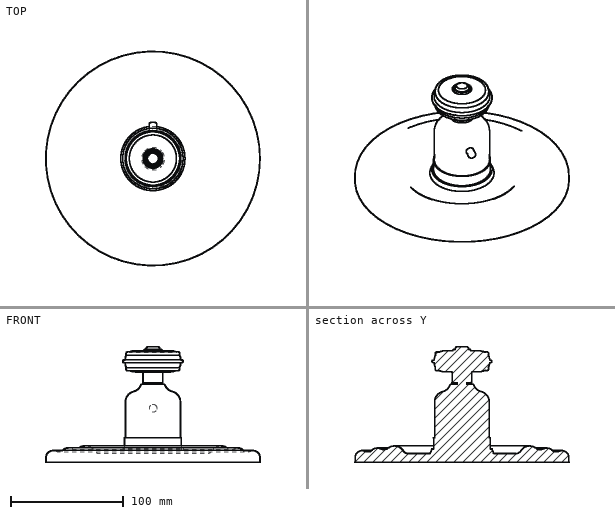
import cadquery as cq


plate_radius = 95.2
plate_edge_height = 4.2
floor_radius = 47.5
floor_height = 7.8
ripple_joints = [(86.3, 10.0), (80.0, 11.0), (72.5, 12.2), (66.0, 12.8), (52.4, 10.5)]

collar_radius = 28.5
collar_top_radius = 26.9
collar_height = 4.0

ring_radius = 25.3
ring_top = 22.0
body_radius = 24.5
shoulder_start = 53.3
shoulder_radius = 17.0
shoulder_end = 63.0
neck_radius = 11.0
neck_start = 68.2
lip_radius = 10.1
body_top = 69.3

spindle_radius = 4.5
stem_radius = 9.0
stem_bottom = 70.5

knob_middle = 89.7
knob_half_height = 9.5
knob_flat_radius = 15.5
dome_bulge_radius = 18.3
dome_bulge_rise = 9.1
bead_inner_radius = 21.0
bead_inner_rise = 8.2
bead_bulge_radius = 23.5
bead_bulge_rise = 8.0
groove_radius = 23.6
groove_rise = 5.5
belly_bulge_radius = 24.5
belly_bulge_rise = 3.5
belly_radius = 24.8
flange_radius = 26.9
flange_round = 1.3

total_height = 102.7
button_top_radius = 5.0
button_bulge_radius = 6.0
button_bulge_height = 101.7
button_base_radius = 6.3
seat_top_height = 100.4
seat_top_radius = 7.2
seat_radius = 8.5

pin_radius = 3.5
pin_reach = 32.0
pin_height = 48.2
pin_fillet = 1.7


def turn(profile):
    """Close a profile drawn in the XZ plane and revolve it about Z."""
    return profile.close().revolve(360, (0, 0, 0), (0, 1, 0))


def disc(radius, bottom, top):
    return cq.Workplane("XY").workplane(offset=bottom).circle(radius).extrude(top - bottom)


def base_plate():
    profile = cq.Workplane("XZ").lineTo(plate_radius, 0).lineTo(plate_radius, plate_edge_height)
    for joint in ripple_joints:
        profile = profile.tangentArcPoint(joint, relative=False)
    profile = profile.tangentArcPoint((floor_radius, floor_height), relative=False)
    return turn(profile.lineTo(0, floor_height))


def collar():
    collar_top = floor_height + collar_height
    return turn(
        cq.Workplane("XZ")
        .moveTo(0, floor_height)
        .lineTo(collar_radius, floor_height)
        .lineTo(collar_top_radius, collar_top)
        .lineTo(0, collar_top)
    )


def valve_body():
    bottle = turn(
        cq.Workplane("XZ")
        .moveTo(0, ring_top)
        .lineTo(body_radius, ring_top)
        .lineTo(body_radius, shoulder_start)
        .tangentArcPoint((shoulder_radius, shoulder_end), relative=False)
        .tangentArcPoint((neck_radius, neck_start), relative=False)
        .tangentArcPoint((lip_radius, body_top), relative=False)
        .lineTo(0, body_top)
    )
    ring = disc(ring_radius, floor_height, ring_top)
    return ring.union(bottle)


def knob_half():
    """Upper half of the knob, standing on the XY plane."""
    return turn(
        cq.Workplane("XZ")
        .lineTo(belly_radius, 0)
        .lineTo(belly_radius, flange_round)
        .threePointArc((belly_bulge_radius, belly_bulge_rise), (groove_radius, groove_rise))
        .threePointArc((bead_bulge_radius, bead_bulge_rise), (bead_inner_radius, bead_inner_rise))
        .threePointArc((dome_bulge_radius, dome_bulge_rise), (knob_flat_radius, knob_half_height))
        .lineTo(0, knob_half_height)
    )


def knob_flange():
    """Thin disc with a full-round edge, centred on the XY plane."""
    flat_radius = flange_radius - flange_round
    return turn(
        cq.Workplane("XZ")
        .moveTo(0, -flange_round)
        .lineTo(flat_radius, -flange_round)
        .threePointArc((flange_radius, 0), (flat_radius, flange_round))
        .lineTo(0, flange_round)
    )


def knob():
    half = knob_half()
    return half.union(half.mirror("XY")).union(knob_flange()).translate((0, 0, knob_middle))


def button():
    knob_top = knob_middle + knob_half_height
    return turn(
        cq.Workplane("XZ")
        .moveTo(0, knob_top)
        .lineTo(seat_radius, knob_top)
        .lineTo(seat_top_radius, seat_top_height)
        .lineTo(button_base_radius, seat_top_height)
        .threePointArc((button_bulge_radius, button_bulge_height), (button_top_radius, total_height))
        .lineTo(0, total_height)
    )


def stop_pin():
    pin = cq.Workplane("XZ").center(0, pin_height).circle(pin_radius).extrude(-pin_reach)
    return pin.faces(">Y").edges().fillet(pin_fillet)


spindle = disc(spindle_radius, body_top, stem_bottom)
stem = disc(stem_radius, stem_bottom, knob_middle)

result = base_plate()
for piece in (collar(), valve_body(), spindle, stem, knob(), button(), stop_pin()):
    result = result.union(piece)